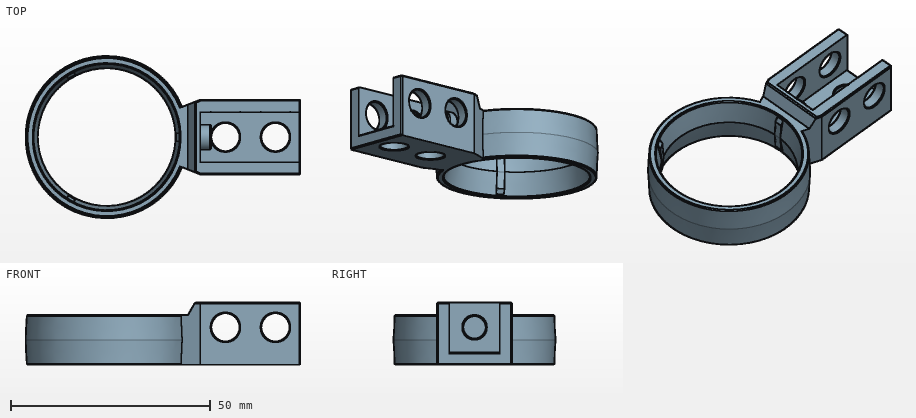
import cadquery as cq
import math

unit = 12.5
wall = unit / 4
edge_chamfer = 0.3

ring_height = unit
ring_mid_radius = 1.625 * unit
ring_end_radius = 20.03
bore_mid_radius = 1.375 * unit
bore_end_radius = 18.25

rib_count = 3
rib_width = 2.0
rib_mid_radius = 17.15
rib_shoulder_radius = 17.45
rib_root_radius = 18.5
rib_root_gap = 0.1
rib_end_angle = 60.0

fork_height = unit + wall
fork_half_width = 0.75 * unit
slot_width = 2 * (fork_half_width - wall)
slot_start_x = 1.875 * unit
fork_end_x = slot_start_x + 2 * unit
hole_x = [slot_start_x + unit / 2, slot_start_x + 3 * unit / 2]
cross_hole_z = wall + unit / 2
hole_diameter = 7.0
hole_chamfer = 0.25
back_slope_angle = 30.0

peg_diameter = unit / 2
peg_length = 2.7
peg_chamfer = 0.35


def make_ring_body():
    """Outside of the ring: two cones meeting at half height, solid inside."""
    top_radius = ring_end_radius - edge_chamfer
    return (
        cq.Workplane("XZ")
        .moveTo(0, 0)
        .lineTo(top_radius, 0)
        .lineTo(ring_end_radius, edge_chamfer)
        .lineTo(ring_mid_radius, ring_height / 2)
        .lineTo(ring_end_radius, ring_height - edge_chamfer)
        .lineTo(top_radius, ring_height)
        .lineTo(0, ring_height)
        .close()
        .revolve(360, (0, 0, 0), (0, 1, 0))
    )


def make_bore():
    """Hourglass bore with a bevel at each end."""
    mouth_radius = bore_end_radius + edge_chamfer
    return (
        cq.Workplane("XZ")
        .moveTo(0, 0)
        .lineTo(mouth_radius, 0)
        .lineTo(bore_end_radius, edge_chamfer)
        .lineTo(bore_mid_radius, ring_height / 2)
        .lineTo(bore_end_radius, ring_height - edge_chamfer)
        .lineTo(mouth_radius, ring_height)
        .lineTo(0, ring_height)
        .close()
        .revolve(360, (0, 0, 0), (0, 1, 0))
    )


def make_rib(angle):
    """Upright rib on the bore wall, bowed inward and with sloped ends."""
    end_rise = (rib_root_radius - rib_shoulder_radius) * math.tan(math.radians(rib_end_angle))
    low_root = rib_root_gap
    high_root = ring_height - rib_root_gap
    return (
        cq.Workplane("XZ")
        .moveTo(rib_root_radius, low_root)
        .lineTo(rib_shoulder_radius, low_root + end_rise)
        .lineTo(rib_mid_radius, ring_height / 2)
        .lineTo(rib_shoulder_radius, high_root - end_rise)
        .lineTo(rib_root_radius, high_root)
        .close()
        .extrude(rib_width / 2, both=True)
        .rotate((0, 0, 0), (0, 0, 1), angle)
    )


def make_fork_body():
    """Fork block and its neck, whose sides run toward the ring axis."""
    slope_start_x = ring_mid_radius
    slope_end_x = slope_start_x + wall * math.tan(math.radians(back_slope_angle))
    block = (
        cq.Workplane("XY")
        .moveTo(0, 0)
        .lineTo(slot_start_x, -fork_half_width)
        .lineTo(fork_end_x, -fork_half_width)
        .lineTo(fork_end_x, fork_half_width)
        .lineTo(slot_start_x, fork_half_width)
        .close()
        .extrude(fork_height)
    )
    above_ring = (
        cq.Workplane("XZ")
        .moveTo(0, ring_height)
        .lineTo(slope_start_x, ring_height)
        .lineTo(slope_end_x, fork_height)
        .lineTo(0, fork_height)
        .close()
        .extrude(fork_half_width, both=True)
    )
    body = block.cut(above_ring)
    return body.faces(">Z or >X").edges().chamfer(edge_chamfer)


def make_slot():
    """Gap between the fork arms, with a bevel on the floor's far edge."""
    return (
        cq.Workplane("XZ")
        .moveTo(slot_start_x, wall)
        .lineTo(fork_end_x - edge_chamfer, wall)
        .lineTo(fork_end_x, wall - edge_chamfer)
        .lineTo(fork_end_x, fork_height)
        .lineTo(slot_start_x, fork_height)
        .close()
        .extrude(slot_width / 2, both=True)
    )


def make_beveled_hole(thickness):
    """Cutter along Z for a hole with a bevel at both faces of a wall."""
    radius = hole_diameter / 2
    mouth_radius = radius + hole_chamfer
    return (
        cq.Workplane("XZ")
        .moveTo(0, 0)
        .lineTo(mouth_radius, 0)
        .lineTo(radius, hole_chamfer)
        .lineTo(radius, thickness - hole_chamfer)
        .lineTo(mouth_radius, thickness)
        .lineTo(0, thickness)
        .close()
        .revolve(360, (0, 0, 0), (0, 1, 0))
    )


def make_peg():
    """Short beveled peg pointing along +X from the back wall."""
    return (
        cq.Workplane("YZ", origin=(slot_start_x, 0, cross_hole_z))
        .circle(peg_diameter / 2)
        .extrude(peg_length)
        .faces(">X")
        .chamfer(peg_chamfer)
    )


result = make_ring_body().union(make_fork_body())
result = result.cut(make_bore()).cut(make_slot())

wall_hole = make_beveled_hole(wall)
arm_hole = wall_hole.rotate((0, 0, 0), (1, 0, 0), 90)
for x in hole_x:
    result = result.cut(wall_hole.translate((x, 0, 0)))
    for arm_face_y in (fork_half_width, wall - fork_half_width):
        result = result.cut(arm_hole.translate((x, arm_face_y, cross_hole_z)))

result = result.union(make_peg())
for i in range(rib_count):
    result = result.union(make_rib(i * 360 / rib_count))